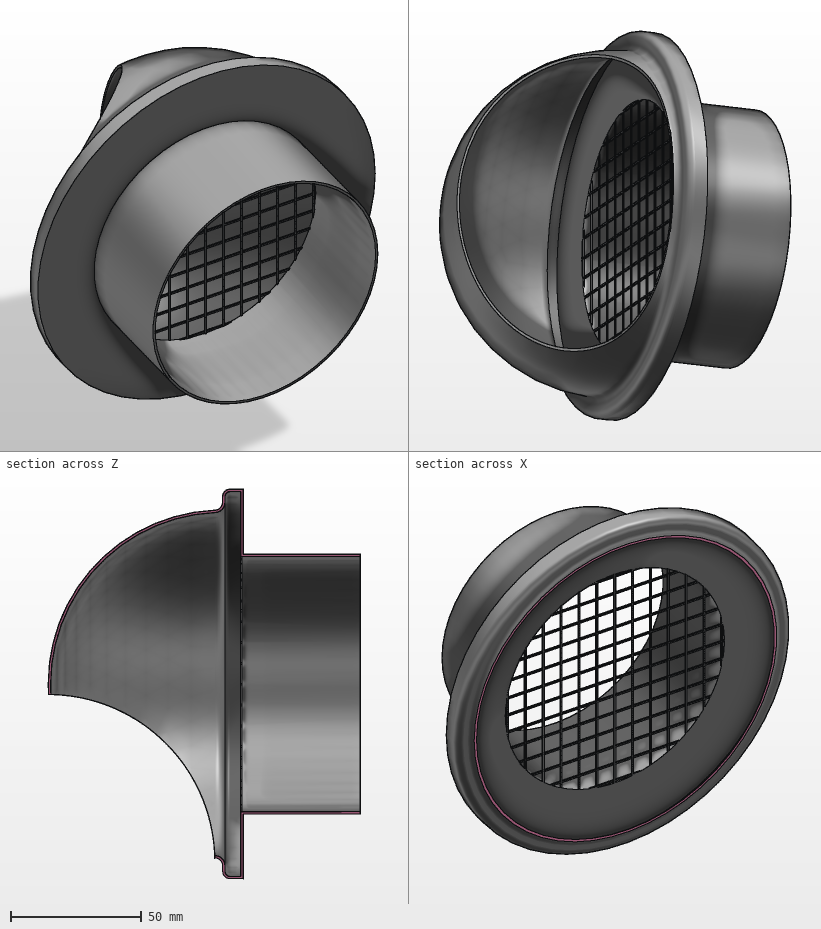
import cadquery as cq
import math

FLANGE_RADIUS = 75.0
FLANGE_THICKNESS = 8.0
RIM_ROUND = 3.0
HOOD_RADIUS = 67.0
HOOD_FILLET = 3.0
TUBE_RADIUS = 50.0
TUBE_LENGTH = 45.0
WALL = 1.0
PLATE_THICKNESS = WALL
OPENING_RADIUS = 64.0
OPENING_OFFSET = 68.0
MESH_PITCH = 8.0
WIRE_WIDTH = 0.7
WIRE_DEPTH = 0.5

FLANGE_FRONT = -FLANGE_THICKNESS
HOOD_TIP = FLANGE_FRONT - HOOD_RADIUS
BORE_RADIUS = TUBE_RADIUS - WALL
PLATE_FRONT = -PLATE_THICKNESS


def mid_arc_point(center, radius, start_angle, end_angle):
    """Point halfway along an arc; angles are in radians, measured from +X towards +Y."""
    angle = (start_angle + end_angle) / 2
    return (center[0] + radius * math.cos(angle), center[1] + radius * math.sin(angle))


def make_hood_and_flange(inset, rear_x):
    """Solid of hood and flange with its outer skin moved inward by inset."""
    hood_radius = HOOD_RADIUS - inset
    fillet_radius = HOOD_FILLET + inset
    rim_radius = RIM_ROUND - inset
    front_x = FLANGE_FRONT + inset
    outer_radius = FLANGE_RADIUS - inset

    hood_center = (FLANGE_FRONT, 0)
    center_distance = HOOD_RADIUS + HOOD_FILLET
    lean = math.asin(HOOD_FILLET / center_distance)
    fillet_center = (FLANGE_FRONT - HOOD_FILLET, center_distance * math.cos(lean))
    rim_center = (FLANGE_FRONT + RIM_ROUND, FLANGE_RADIUS - RIM_ROUND)

    hood_end_angle = math.pi / 2 + lean
    hood_end = (
        FLANGE_FRONT + hood_radius * math.cos(hood_end_angle),
        hood_radius * math.sin(hood_end_angle),
    )
    hood_mid = mid_arc_point(hood_center, hood_radius, math.pi, hood_end_angle)
    fillet_mid = mid_arc_point(fillet_center, fillet_radius, lean - math.pi / 2, 0)
    rim_mid = mid_arc_point(rim_center, rim_radius, math.pi, math.pi / 2)

    profile = (
        cq.Workplane("XY")
        .moveTo(FLANGE_FRONT - hood_radius, 0)
        .threePointArc(hood_mid, hood_end)
        .threePointArc(fillet_mid, (front_x, fillet_center[1]))
        .lineTo(front_x, rim_center[1])
        .threePointArc(rim_mid, (rim_center[0], outer_radius))
        .lineTo(rear_x, outer_radius)
        .lineTo(rear_x, 0)
        .close()
    )
    return profile.revolve(360, (0, 0, 0), (1, 0, 0))


def make_tube():
    """Solid cylinder that becomes the duct connection behind the flange."""
    return cq.Workplane("YZ").circle(TUBE_RADIUS).extrude(TUBE_LENGTH)


def make_bore():
    """Round passage through the back plate and the tube."""
    length = TUBE_LENGTH - PLATE_FRONT
    return cq.Workplane("YZ", origin=(PLATE_FRONT, 0, 0)).circle(BORE_RADIUS).extrude(length)


def make_opening():
    """Vertical cylinder that scoops the air opening out of the -Y side of the hood."""
    return (
        cq.Workplane("XY")
        .center(HOOD_TIP, -OPENING_OFFSET)
        .circle(OPENING_RADIUS)
        .extrude(FLANGE_RADIUS, both=True)
    )


def make_mesh():
    """Square grid of wires across the bore, each ending inside the back plate."""
    reach = BORE_RADIUS + WALL / 2
    wires_per_side = int(BORE_RADIUS // MESH_PITCH)
    wire_x = PLATE_FRONT + WIRE_DEPTH / 2
    mesh = cq.Workplane("XY")
    for index in range(-wires_per_side, wires_per_side + 1):
        offset = index * MESH_PITCH
        length = 2 * math.sqrt(reach**2 - offset**2)
        upright = cq.Workplane("XY").box(WIRE_DEPTH, WIRE_WIDTH, length)
        level = cq.Workplane("XY").box(WIRE_DEPTH, length, WIRE_WIDTH)
        mesh = mesh.add(upright.translate((wire_x, offset, 0)))
        mesh = mesh.add(level.translate((wire_x, 0, offset)))
    return mesh.combine()


outside = make_hood_and_flange(inset=0, rear_x=0).union(make_tube())
cavity = make_hood_and_flange(inset=WALL, rear_x=PLATE_FRONT)
shell = outside.cut(cavity).cut(make_bore()).cut(make_opening())
result = shell.union(make_mesh())